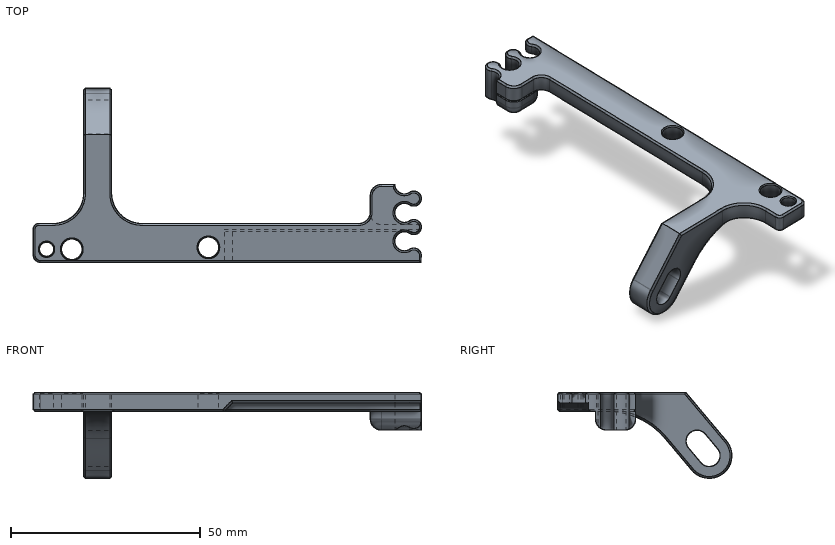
import cadquery as cq
import math

length = 102.34
bar_end = 102.28
bar_width = 10.3
thickness = 5.0
front_corner_radius = 2.0
back_corner_radius = 1.5
edge_chamfer = 0.5

total_depth = 45.97
total_height = 22.69
arm_left = 13.3
arm_width = 7.4
arm_right = arm_left + arm_width
arm_root_radius = 8.0
arm_slope = math.radians(50)
arm_end_radius = 6.0
arm_bend_radius = 20.0
slot_width = 5.7
slot_travel = 5.0
arm_end_y = total_depth - arm_end_radius
arm_end_z = thickness - total_height + arm_end_radius

block_left = 88.85
block_back = 20.6
block_corner_radius = 3.0
scallop_radius = 2.5
finger_radius = 2.0
finger_count = 3
hook_pitch = 7.5
finger_x = length - finger_radius
first_finger_y = block_back - (finger_count - 0.5) * hook_pitch
finger_to_scallop = finger_radius + scallop_radius
scallop_x = finger_x - math.sqrt(finger_to_scallop**2 - (hook_pitch / 2) ** 2)

boss_front = 10.0
boss_height = 5.0
boss_radius = 3.0

relief_left = 50.4
relief_height = 2.2
relief_depth = 8.2
relief_chamfer = 0.6

holes = [(3.55, 3.5, 3.7), (10.2, 3.5, 5.4), (46.2, 4.0, 5.4)]
hole_chamfer = 0.3

tolerance = 1e-4
overrun = 5.0


def plan_outline():
    """Closed outline of bar, arm and hooks seen from above, with square corners."""
    touch = finger_radius / finger_to_scallop
    touch_x = finger_x + touch * (scallop_x - finger_x)
    touch_rise = touch * hook_pitch / 2
    bar_end_y = first_finger_y - math.sqrt(finger_radius**2 - (bar_end - finger_x) ** 2)
    half_chord = scallop_radius * math.sqrt(0.5)

    outline = cq.Workplane("XY").lineTo(bar_end, 0)
    outline = outline.lineTo(bar_end, bar_end_y)
    outline = outline.threePointArc((length, first_finger_y), (touch_x, first_finger_y + touch_rise))
    for index in range(1, finger_count):
        finger_y = first_finger_y + index * hook_pitch
        scallop_bottom = (scallop_x - scallop_radius, finger_y - hook_pitch / 2)
        outline = outline.threePointArc(scallop_bottom, (touch_x, finger_y - touch_rise))
        outline = outline.threePointArc((length, finger_y), (touch_x, finger_y + touch_rise))
    outline = outline.threePointArc(
        (scallop_x - half_chord, block_back - half_chord),
        (scallop_x - scallop_radius, block_back),
    )
    return (
        outline.lineTo(block_left, block_back)
        .lineTo(block_left, bar_width)
        .lineTo(arm_right, bar_width)
        .lineTo(arm_right, total_depth)
        .lineTo(arm_left, total_depth)
        .lineTo(arm_left, bar_width)
        .lineTo(0, bar_width)
        .close()
    )


def plan_prism():
    """Plan outline as a tall prism with rounded corners, reaching below the arm's end."""
    prism = plan_outline().extrude(total_height).translate((0, 0, thickness - total_height))
    corners = [
        (0, 0, front_corner_radius),
        (0, bar_width, back_corner_radius),
        (arm_left, bar_width, arm_root_radius),
        (arm_right, bar_width, arm_root_radius),
        (block_left, bar_width, block_corner_radius),
        (block_left, block_back, block_corner_radius),
    ]
    for x, y, radius in corners:
        near_corner = cq.selectors.BoxSelector(
            (x - tolerance, y - tolerance, -total_height),
            (x + tolerance, y + tolerance, total_height),
        )
        prism = prism.edges("|Z").edges(near_corner).fillet(radius)
    return prism


def side_profile():
    """Closed YZ outline of the bar and the bent arm."""
    slope_y = math.cos(arm_slope)
    slope_z = -math.sin(arm_slope)
    side_y = arm_end_radius * math.sin(arm_slope)
    side_z = arm_end_radius * math.cos(arm_slope)
    outer = (arm_end_y + side_y, arm_end_z + side_z)
    inner = (arm_end_y - side_y, arm_end_z - side_z)
    tip = (arm_end_y + arm_end_radius * slope_y, arm_end_z + arm_end_radius * slope_z)
    shoulder_y = outer[0] - (thickness - outer[1]) / math.tan(arm_slope)

    bend_corner_y = inner[0] + inner[1] / math.tan(arm_slope)
    bend_length = arm_bend_radius * math.tan(arm_slope / 2)
    bend_end = (bend_corner_y + bend_length * slope_y, bend_length * slope_z)
    bend_start = (bend_corner_y - bend_length, 0)
    bend_middle = (
        bend_start[0] + arm_bend_radius * math.sin(arm_slope / 2),
        -arm_bend_radius * (1 - math.cos(arm_slope / 2)),
    )
    return (
        cq.Workplane("YZ")
        .lineTo(0, thickness)
        .lineTo(shoulder_y, thickness)
        .lineTo(*outer)
        .threePointArc(tip, inner)
        .lineTo(*bend_end)
        .threePointArc(bend_middle, bend_start)
        .close()
    )


def outer_edges(body):
    """Top edges except the arm's shoulder, and the lower edges of bar and arm up to the hook block."""
    chosen = body.faces(">Z").edges("not >Y").vals()
    for edge in body.edges().vals():
        box = edge.BoundingBox()
        center = edge.Center()
        upright = box.ymax - box.ymin < tolerance and box.zmax - box.zmin > tolerance
        across_arm = edge.geomType() == "LINE" and box.ymin > bar_width + tolerance
        across_arm = across_arm and box.xmax - box.xmin > tolerance
        below_top = center.z < thickness - tolerance
        before_block = center.x < block_left - tolerance
        if below_top and before_block and not upright and not across_arm:
            chosen.append(edge)
    return chosen


def bracket():
    """Bar, bent arm and hook block, with their outer edges chamfered."""
    middle_x = (arm_right + block_left) / 2
    arm_zone = side_profile().extrude(middle_x)
    hook_zone = cq.Workplane("XY").box(length - middle_x, block_back, thickness, centered=False)
    body = plan_prism().intersect(arm_zone.union(hook_zone.translate((middle_x, 0, 0))))
    return body.newObject(outer_edges(body)).chamfer(edge_chamfer)


def slot_cutter():
    """Slot through the arm's end, running along the arm's slope."""
    return (
        cq.Workplane("YZ", origin=(arm_left - overrun, arm_end_y, arm_end_z))
        .transformed(rotate=(0, 0, 180 - math.degrees(arm_slope)))
        .center(slot_travel / 2, 0)
        .slot2D(slot_travel + slot_width, slot_width)
        .extrude(arm_width + 2 * overrun)
    )


def relief_profile(offset):
    """XZ outline of the relief, its roof and 45 degree end wall moved outward by an offset."""
    roof = relief_height + offset
    left = relief_left - offset * math.sqrt(2)
    return [(left, 0), (left + roof, roof), (length + overrun, roof), (length + overrun, 0)]


def relief_cutter():
    """Relief pocket with a chamfered mouth on the bar's front face."""
    pocket = cq.Workplane("XZ").polyline(relief_profile(0)).close().extrude(-relief_depth)
    mouth = (
        cq.Workplane("XZ")
        .polyline(relief_profile(relief_chamfer))
        .close()
        .workplane(offset=-relief_chamfer)
        .polyline(relief_profile(0))
        .close()
        .loft(ruled=True)
    )
    return pocket.union(mouth)


def hole_cutter(x, y, diameter):
    """Through hole with a small chamfer at the top."""
    radius = diameter / 2
    drill = cq.Workplane("XY", origin=(x, y, 0)).circle(radius).extrude(thickness)
    countersink = (
        cq.Workplane("XY", origin=(x, y, thickness - hole_chamfer))
        .circle(radius)
        .workplane(offset=hole_chamfer)
        .circle(radius + hole_chamfer)
        .loft()
    )
    return drill.union(countersink)


def boss():
    """Rounded boss under the hook block, trimmed to the block's fingers and scallops."""
    depth = block_back - boss_front
    block = (
        cq.Workplane("XY")
        .box(length + overrun - block_left, depth, boss_height, centered=False)
        .translate((block_left, boss_front, -boss_height))
        .edges("|Z and <X")
        .fillet(boss_radius)
        .faces("<Z")
        .edges("not >X")
        .fillet(boss_radius)
    )
    return block.intersect(plan_prism())


def relieved_bracket():
    """Bracket with the relief cut and the lower edge of the relief's back wall chamfered."""
    body = bracket().cut(relief_cutter())
    wall_edge = cq.selectors.NearestToPointSelector(((relief_left + length) / 2, relief_depth, 0))
    return body.edges(wall_edge).chamfer(edge_chamfer)


body = relieved_bracket().cut(slot_cutter())
for hole in holes:
    body = body.cut(hole_cutter(*hole))
result = body.union(boss())